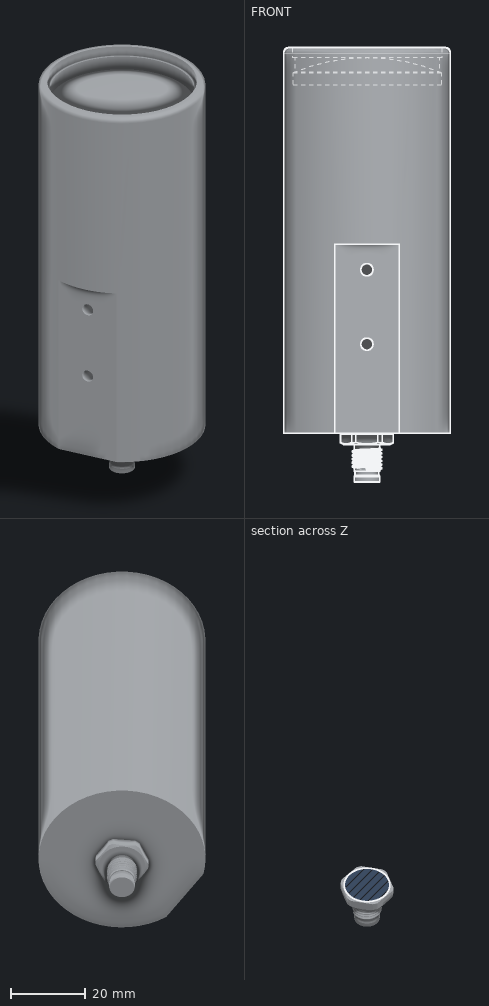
import cadquery as cq
import math

TOTAL_HEIGHT = 117.3
HOUSING_HEIGHT = 104.0
HOUSING_BOTTOM = TOTAL_HEIGHT - HOUSING_HEIGHT

HOUSING_DIAMETER = 45.0
RIM_FILLET = 1.5
MOUTH_DIAMETER = 40.5
MOUTH_DEPTH = 2.7
LIP_DIAMETER = 39.0

PAD_HEIGHT = 51.0
PAD_DEPTH = 1.8
PAD_Y = PAD_DEPTH - HOUSING_DIAMETER / 2
SCREW_HOLE_DIAMETER = 3.3
SCREW_HOLE_DEPTH = 5.9
LOWER_HOLE_HEIGHT = 24.0
SCREW_HOLE_SPACING = 20.0

TRANSDUCER_DIAMETER = 40.0
LIP_EDGE_DEPTH = 6.6
DOME_RISE = 3.9
TRANSDUCER_THICKNESS = 7.4
DOME_TOP = TOTAL_HEIGHT - LIP_EDGE_DEPTH + DOME_RISE
DOME_RADIUS = ((LIP_DIAMETER / 2) ** 2 + DOME_RISE**2) / (2 * DOME_RISE)
SEAT_Z = DOME_TOP - TRANSDUCER_THICKNESS

HEX_ACROSS_FLATS = 13.0
HEX_CORNER_DIAMETER = 14.3
HEX_FACE_DIAMETER = 12.4
HEX_HEIGHT = 2.8
HEX_CHAMFER_ANGLE = 30.0
HEX_TURN = 30.0
SPACER_HEIGHT = 0.2
HEX_TOP = HOUSING_BOTTOM - SPACER_HEIGHT
HEX_BOTTOM = HEX_TOP - HEX_HEIGHT

STEM_DIAMETER = 6.9
GROOVE_DIAMETER = 6.5
GROOVE_TOP = 3.0
GROOVE_BOTTOM = 2.0
COLLAR_TOP = 1.5
TIP_CHAMFER = (STEM_DIAMETER - GROOVE_DIAMETER) / 2

THREAD_DIAMETER = 8.0
THREAD_PITCH = 1.0
THREAD_TURNS = 5.3
THREAD_START = 3.58
THREAD_START_ANGLE = 270.0
RIDGE_ROOT_WIDTH = 0.8
RIDGE_CREST_WIDTH = 0.1
RIDGE_EMBED = 0.1


def cylinder(diameter, bottom, height):
    return cq.Workplane("XY").workplane(offset=bottom).circle(diameter / 2).extrude(height)


def revolve_about_z(outline):
    """Turn an outline of (radius, Z) drawn on the XZ plane about the Z axis."""
    return outline.close().revolve(360, (0, 0, 0), (0, 1, 0))


def make_housing():
    body = cylinder(HOUSING_DIAMETER, HOUSING_BOTTOM, HOUSING_HEIGHT)
    body = body.faces(">Z").edges().fillet(RIM_FILLET)
    body = body.cut(cylinder(MOUTH_DIAMETER, TOTAL_HEIGHT - MOUTH_DEPTH, MOUTH_DEPTH))
    body = body.cut(cylinder(LIP_DIAMETER, SEAT_Z, TOTAL_HEIGHT - SEAT_Z))
    body = body.cut(make_transducer())
    return body.cut(pad_cutter()).cut(screw_holes())


def pad_cutter():
    return (
        cq.Workplane("XY")
        .box(HOUSING_DIAMETER, HOUSING_DIAMETER, PAD_HEIGHT, centered=(True, False, False))
        .translate((0, PAD_Y - HOUSING_DIAMETER, HOUSING_BOTTOM))
    )


def screw_holes():
    lower_z = HOUSING_BOTTOM + LOWER_HOLE_HEIGHT
    return (
        cq.Workplane("XZ", origin=(0, PAD_Y, 0))
        .pushPoints([(0, lower_z), (0, lower_z + SCREW_HOLE_SPACING)])
        .circle(SCREW_HOLE_DIAMETER / 2)
        .extrude(-SCREW_HOLE_DEPTH)
    )


def dome_z(radius):
    """Height of the spherical dome at a distance from the Z axis."""
    return DOME_TOP - DOME_RADIUS + math.sqrt(DOME_RADIUS**2 - radius**2)


def make_transducer():
    radius = TRANSDUCER_DIAMETER / 2
    middle_radius = radius / 2
    outline = (
        cq.Workplane("XZ")
        .moveTo(0, SEAT_Z)
        .lineTo(radius, SEAT_Z)
        .lineTo(radius, dome_z(radius))
        .threePointArc((middle_radius, dome_z(middle_radius)), (0, DOME_TOP))
    )
    return revolve_about_z(outline)


def make_hexagon():
    """Hexagon with flats facing -Y and +Y, and the spacer that sets it off from the housing."""
    corner_radius = HEX_CORNER_DIAMETER / 2
    face_radius = HEX_FACE_DIAMETER / 2
    chamfer_height = (corner_radius - face_radius) * math.tan(math.radians(HEX_CHAMFER_ANGLE))
    prism = (
        cq.Workplane("XY")
        .workplane(offset=HEX_BOTTOM)
        .polygon(6, HEX_ACROSS_FLATS, circumscribed=True)
        .extrude(HEX_HEIGHT)
        .rotate((0, 0, 0), (0, 0, 1), HEX_TURN)
    )
    envelope = revolve_about_z(
        cq.Workplane("XZ")
        .moveTo(0, HEX_BOTTOM)
        .lineTo(face_radius, HEX_BOTTOM)
        .lineTo(corner_radius, HEX_BOTTOM + chamfer_height)
        .lineTo(corner_radius, HEX_TOP)
        .lineTo(0, HEX_TOP)
    )
    spacer = cylinder(HEX_FACE_DIAMETER, HEX_TOP, SPACER_HEIGHT)
    return prism.intersect(envelope).union(spacer)


def make_stem():
    stem_radius = STEM_DIAMETER / 2
    groove_radius = GROOVE_DIAMETER / 2
    outline = (
        cq.Workplane("XZ")
        .lineTo(stem_radius - TIP_CHAMFER, 0)
        .lineTo(stem_radius, TIP_CHAMFER)
        .lineTo(stem_radius, COLLAR_TOP)
        .lineTo(groove_radius, GROOVE_BOTTOM)
        .lineTo(groove_radius, GROOVE_TOP)
        .lineTo(stem_radius, GROOVE_TOP)
        .lineTo(stem_radius, HEX_BOTTOM)
        .lineTo(0, HEX_BOTTOM)
    )
    return revolve_about_z(outline)


def make_thread():
    """Helical ridge whose root is sunk slightly into the stem so that the two fuse."""
    root_radius = STEM_DIAMETER / 2
    crest_radius = THREAD_DIAMETER / 2
    flank_slope = (RIDGE_ROOT_WIDTH - RIDGE_CREST_WIDTH) / 2 / (crest_radius - root_radius)
    half_crest = RIDGE_CREST_WIDTH / 2
    half_base = RIDGE_ROOT_WIDTH / 2 + RIDGE_EMBED * flank_slope
    base_radius = root_radius - RIDGE_EMBED
    path = cq.Wire.makeHelix(THREAD_PITCH, THREAD_PITCH * THREAD_TURNS, root_radius)
    ridge = (
        cq.Workplane("XZ")
        .moveTo(base_radius, -half_base)
        .lineTo(crest_radius, -half_crest)
        .lineTo(crest_radius, half_crest)
        .lineTo(base_radius, half_base)
        .close()
        .sweep(cq.Workplane(path), isFrenet=True)
    )
    return ridge.rotate((0, 0, 0), (0, 0, 1), THREAD_START_ANGLE).translate((0, 0, THREAD_START))


def make_connector():
    return make_hexagon().union(make_stem()).union(make_thread())


housing = make_housing()
transducer = make_transducer()
connector = make_connector()

bodies = [housing, transducer, connector]
result = cq.Compound.makeCompound([body.solids().val() for body in bodies])